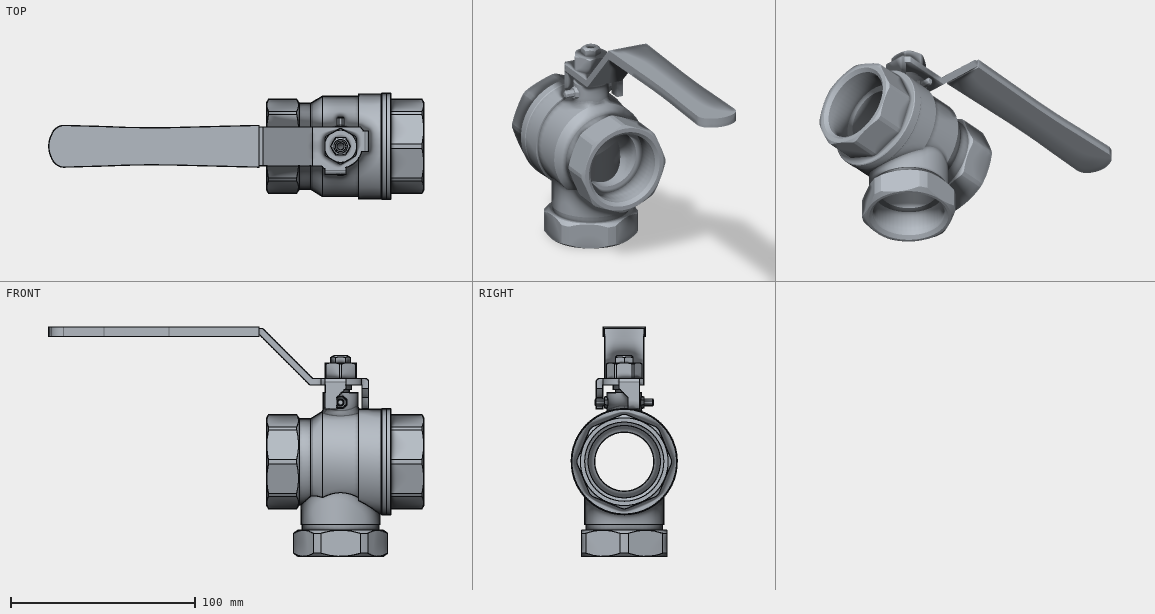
import cadquery as cq
import math


TOTAL_LENGTH = 203.8

BORE_D = 32.0
SOCKET_D = 39.3
SOCKET_ENTRY_D = 43.0
SOCKET_ENTRY_DEPTH = 1.8
SOCKET_DEPTH = 17.3

WRENCH_CORNERS = 51.2
RUN_SIDES = 8
HEX_SIDES = 6
RUN_FLATS = 48.1
BRANCH_FLATS = 46.5
MOUTH_D = 47.7
MOUTH_CHAMFER = 1.0
BRANCH_CHAMFER = 1.8
BRANCH_FACE_D = 46.0

LEFT_END_X = -40.2
LEFT_WRENCH_X = -22.5
LEFT_WRENCH_CHAMFER = 1.5
NECK_R = 23.5
NECK_END_X = -16.3
CONE_START_X = -15.5
CONE_START_R = 23.8
DRUM_X = -9.8
DRUM_R = 27.3
BAND_X = 9.8
BAND_R = 28.5
FLANGE_X = 22.0
FLANGE_R = 57.7 / 2
FLANGE_CHAMFER = 0.5
SPLIT_X = 25.0
CAP_FLANGE_X = 27.5
CAP_FLANGE_CHAMFER = 0.5
RIGHT_END_X = 45.3

BRANCH_R = 43.0 / 2
BRANCH_SHOULDER_Z = -34.0
BRANCH_GROOVE_R = 41.8 / 2
BRANCH_WRENCH_Z = -37.0
BRANCH_END_Z = -51.5

COLLAR_R = 19.0 / 2
COLLAR_TOP_Z = 37.5
COLLAR_FILLET = 3.0
PIN_Z = 32.2
PIN_SIDES = 8
PIN_FLATS = 3.9
PIN_REACH = 16.0
PIN_CHAMFER = 0.6
BOSS_ROOT = 8.2
BOSS_ROOT_FLATS = 7.5
BOSS_FACE_FLATS = 5.7
BOSS_REACH = 10.8

STEM_D = 9.5
STEM_BOTTOM_Z = 20.4
SHOULDER_D = 12.0
SHOULDER_Z = 39.1
TIP_FLATS = 9.4
TIP_TOP_Z = 57.7
TIP_FACE_D = 7.3
TIP_CHAMFER = 1.2
CENTRE_HOLE_D = 3.9
CENTRE_HOLE_MOUTH_D = 5.7
CENTRE_HOLE_DEPTH = 3.0

PLATE_T = 3.7
PLATE_BOTTOM_Z = 41.5
PLATE_TOP_Z = PLATE_BOTTOM_Z + PLATE_T
PLATE_HALF_WIDTH = 10.5
LEVER_RISE = 27.1
LOWER_BEND_X = -16.0
BEND_ANGLE = 45
UPPER_BEND_X = LOWER_BEND_X - LEVER_RISE / math.tan(math.radians(BEND_ANGLE))
HUB_R = 11.8
TAB_FACE = 15.3
TAB_BOTTOM_Z = 28.7
TAB_NEAR = 2.9
TAB_FAR = 8.4
TAB_NOTCH = 4.9
TAB_NOTCH_Z = 39.7
TAB_BEND_R = 2.0
TAB_ROOT = 12.6

GRIP_WALL = 0.8
GRIP_TIP_X = RIGHT_END_X - TOTAL_LENGTH
GRIP_END_X = -44.2
GRIP_CORNER_X = -150.6
GRIP_SHOULDER_X = -157.0
GRIP_SHOULDER_HALF = 6.5
GRIP_CORNER_BULGE = 0.8
GRIP_HALF_WIDTH = PLATE_HALF_WIDTH + GRIP_WALL
GRIP_TAPER_X = -128.6
GRIP_TAPER_HALF = 10.8
GRIP_WAIST_X = -110.0
GRIP_WAIST_HALF = 10.2
GRIP_WAIST_END_X = -93.2

NUT_FLATS = 17.1
NUT_TOP_Z = 53.6
NUT_FACE_D = 17.5
NUT_CORNER_D = 19.2
NUT_CHAMFER = 0.6


def cylinder(diameter, bottom, top):
    """Upright cylinder on the Z axis between two heights."""
    return cq.Workplane("XY").workplane(offset=bottom).circle(diameter / 2).extrude(top - bottom)


def corners_of(sides, flats):
    """Diameter over the corners of a regular polygon with the given size over its flats."""
    return flats / math.cos(math.pi / sides)


def polygon_prism(sides, flats, bottom, top, turn=0):
    """Upright regular prism; with no turn a corner points along +X."""
    outline = cq.Workplane("XY").workplane(offset=bottom).polygon(sides, corners_of(sides, flats))
    prism = outline.extrude(top - bottom)
    return prism.rotate((0, 0, 0), (0, 0, 1), turn)


def wrench_block(sides, flats, corners, bottom, top):
    """Upright prism whose corners are cut by narrow flats."""
    prism = polygon_prism(sides, flats, bottom, top)
    return prism.intersect(polygon_prism(sides, corners, bottom, top, 180 / sides))


def turned(points):
    """Solid of revolution about Z from (radius, height) points that start and end on the axis."""
    return cq.Workplane("XZ").polyline(points).close().revolve(360, (0, 0), (0, 1))


def along_x(shape):
    """Lay a shape built on Z down so that +Z becomes +X."""
    return shape.rotate((0, 0, 0), (0, 1, 0), 90)


def port_tool(end, inward):
    """Socket, entry chamfer and bore to the origin, entered at height `end` of the Z axis."""
    chamfer_end = end + inward * SOCKET_ENTRY_DEPTH
    socket_end = end + inward * SOCKET_DEPTH
    return turned([
        (0, end),
        (SOCKET_ENTRY_D / 2, end),
        (SOCKET_D / 2, chamfer_end),
        (SOCKET_D / 2, socket_end),
        (BORE_D / 2, socket_end),
        (BORE_D / 2, 0),
        (0, 0),
    ])


def left_wrench():
    """Octagonal end with a chamfered mouth and a steeper chamfer towards the neck."""
    block = wrench_block(RUN_SIDES, RUN_FLATS, WRENCH_CORNERS, LEFT_END_X, LEFT_WRENCH_X)
    envelope = turned([
        (0, LEFT_END_X),
        (MOUTH_D / 2, LEFT_END_X),
        (WRENCH_CORNERS / 2, LEFT_END_X + MOUTH_CHAMFER),
        (WRENCH_CORNERS / 2, LEFT_WRENCH_X - LEFT_WRENCH_CHAMFER),
        (NECK_R, LEFT_WRENCH_X),
        (0, LEFT_WRENCH_X),
    ])
    return along_x(block.intersect(envelope))


def band_and_flange():
    """Band and flange around the X axis, ending at the face that meets the end cap."""
    return along_x(turned([
        (0, BAND_X),
        (BAND_R, BAND_X),
        (BAND_R, FLANGE_X),
        (FLANGE_R, FLANGE_X + FLANGE_CHAMFER),
        (FLANGE_R, SPLIT_X),
        (0, SPLIT_X),
    ]))


def branch():
    """Branch tube with a groove above its hexagonal end."""
    tube = cylinder(2 * BRANCH_R, BRANCH_SHOULDER_Z, 0)
    groove = cylinder(2 * BRANCH_GROOVE_R, BRANCH_WRENCH_Z, BRANCH_SHOULDER_Z)
    block = wrench_block(HEX_SIDES, BRANCH_FLATS, WRENCH_CORNERS, BRANCH_END_Z, BRANCH_WRENCH_Z)
    envelope = turned([
        (0, BRANCH_END_Z),
        (BRANCH_FACE_D / 2, BRANCH_END_Z),
        (WRENCH_CORNERS / 2, BRANCH_END_Z + BRANCH_CHAMFER),
        (WRENCH_CORNERS / 2, BRANCH_WRENCH_Z - BRANCH_CHAMFER),
        (BRANCH_FACE_D / 2, BRANCH_WRENCH_Z),
        (0, BRANCH_WRENCH_Z),
    ])
    return tube.union(groove).union(block.intersect(envelope))


def stop_pin(side):
    """Octagonal pin on a tapered octagonal boss; `side` is +1 for +Y and -1 for -Y."""
    boss_height = BOSS_REACH - BOSS_ROOT
    taper = math.degrees(math.atan((BOSS_ROOT_FLATS - BOSS_FACE_FLATS) / 2 / boss_height))
    root_corners = corners_of(PIN_SIDES, BOSS_ROOT_FLATS)
    boss = cq.Workplane("XY").workplane(offset=BOSS_ROOT).polygon(PIN_SIDES, root_corners)
    boss = boss.extrude(boss_height, taper=taper)
    pin = polygon_prism(PIN_SIDES, PIN_FLATS, BOSS_ROOT, PIN_REACH).faces(">Z").chamfer(PIN_CHAMFER)
    pin = boss.union(pin).rotate((0, 0, 0), (0, 0, 1), 180 / PIN_SIDES)
    return pin.rotate((0, 0, 0), (1, 0, 0), -90 * side).translate((0, 0, PIN_Z))


def barrel_with_collar():
    """Barrel and stem collar, the collar rounded into the drum and the cone."""
    drum = along_x(turned([
        (0, LEFT_WRENCH_X),
        (NECK_R, LEFT_WRENCH_X),
        (NECK_R, NECK_END_X),
        (CONE_START_R, CONE_START_X),
        (DRUM_R, DRUM_X),
        (DRUM_R, FLANGE_X),
        (0, FLANGE_X),
    ]))
    shell = drum.union(cylinder(2 * COLLAR_R, 0, COLLAR_TOP_Z))
    collar_root = cq.selectors.NearestToPointSelector((0, 0, DRUM_R))
    return shell.edges(collar_root).fillet(COLLAR_FILLET).union(band_and_flange())


def make_body():
    """Housing with the left port, the branch, the stem collar and the stop pins."""
    body = barrel_with_collar().union(left_wrench()).union(branch())
    for side in (1, -1):
        body = body.union(stop_pin(side))
    body = body.cut(along_x(port_tool(LEFT_END_X, 1)))
    body = body.cut(along_x(cylinder(BORE_D, 0, SPLIT_X)))
    body = body.cut(port_tool(BRANCH_END_Z, 1))
    return body.cut(cylinder(STEM_D, STEM_BOTTOM_Z, COLLAR_TOP_Z))


def make_end_cap():
    """Screwed-in end of the run: a thin flange and an octagon with a chamfered mouth."""
    block = wrench_block(RUN_SIDES, RUN_FLATS, WRENCH_CORNERS, SPLIT_X, RIGHT_END_X)
    envelope = turned([
        (0, SPLIT_X),
        (WRENCH_CORNERS / 2, SPLIT_X),
        (WRENCH_CORNERS / 2, RIGHT_END_X - MOUTH_CHAMFER),
        (MOUTH_D / 2, RIGHT_END_X),
        (0, RIGHT_END_X),
    ])
    flange = cylinder(2 * FLANGE_R, SPLIT_X, CAP_FLANGE_X).faces(">Z").chamfer(CAP_FLANGE_CHAMFER)
    cap = block.intersect(envelope).union(flange)
    return along_x(cap.cut(port_tool(RIGHT_END_X, -1)))


def make_stem():
    """Round stem with a shoulder under the lever and a chamfered hexagonal tip."""
    stem = cylinder(STEM_D, STEM_BOTTOM_Z, SHOULDER_Z)
    stem = stem.union(cylinder(SHOULDER_D, SHOULDER_Z, PLATE_BOTTOM_Z))
    stem = stem.union(cylinder(STEM_D, PLATE_BOTTOM_Z, NUT_TOP_Z))
    tip_corner_r = corners_of(HEX_SIDES, TIP_FLATS) / 2
    envelope = turned([
        (0, NUT_TOP_Z),
        (tip_corner_r, NUT_TOP_Z),
        (tip_corner_r, TIP_TOP_Z - TIP_CHAMFER),
        (TIP_FACE_D / 2, TIP_TOP_Z),
        (0, TIP_TOP_Z),
    ])
    stem = stem.union(polygon_prism(HEX_SIDES, TIP_FLATS, NUT_TOP_Z, TIP_TOP_Z).intersect(envelope))
    mouth_depth = (CENTRE_HOLE_MOUTH_D - CENTRE_HOLE_D) / 2
    centre_hole = turned([
        (0, TIP_TOP_Z),
        (CENTRE_HOLE_MOUTH_D / 2, TIP_TOP_Z),
        (CENTRE_HOLE_D / 2, TIP_TOP_Z - mouth_depth),
        (CENTRE_HOLE_D / 2, TIP_TOP_Z - CENTRE_HOLE_DEPTH),
        (0, TIP_TOP_Z - CENTRE_HOLE_DEPTH - CENTRE_HOLE_D / 2),
    ])
    return stem.cut(centre_hole)


def make_nut():
    """Hexagonal nut clamping the lever, with its upper corners chamfered."""
    block = polygon_prism(HEX_SIDES, NUT_FLATS, PLATE_TOP_Z, NUT_TOP_Z, 180 / HEX_SIDES)
    envelope = turned([
        (0, PLATE_TOP_Z),
        (NUT_CORNER_D / 2, PLATE_TOP_Z),
        (NUT_CORNER_D / 2, NUT_TOP_Z - NUT_CHAMFER),
        (NUT_FACE_D / 2, NUT_TOP_Z),
        (0, NUT_TOP_Z),
    ])
    return block.intersect(envelope).cut(cylinder(STEM_D, PLATE_TOP_Z, NUT_TOP_Z))


def grip_blank(inset):
    """Waisted grip shape, moved inwards by `inset` on every side but the open end."""
    half = GRIP_HALF_WIDTH - inset
    shoulder_half = GRIP_SHOULDER_HALF - inset
    taper_half = GRIP_TAPER_HALF - inset
    waist_half = GRIP_WAIST_HALF - inset
    tip_x = GRIP_TIP_X + inset
    shoulder_x = GRIP_SHOULDER_X + inset
    corner_x = GRIP_CORNER_X + inset
    bottom = PLATE_BOTTOM_Z + LEVER_RISE - GRIP_WALL + inset
    thickness = PLATE_T + 2 * (GRIP_WALL - inset)
    corner_mid_x = (shoulder_x + corner_x) / 2 - GRIP_CORNER_BULGE
    corner_mid_half = (shoulder_half + half) / 2 + GRIP_CORNER_BULGE
    outline = (
        cq.Workplane("XY")
        .workplane(offset=bottom)
        .moveTo(GRIP_END_X, -half)
        .lineTo(GRIP_WAIST_END_X, -waist_half)
        .threePointArc((GRIP_WAIST_X, -waist_half), (GRIP_TAPER_X, -taper_half))
        .lineTo(corner_x, -half)
        .threePointArc((corner_mid_x, -corner_mid_half), (shoulder_x, -shoulder_half))
        .threePointArc((tip_x, 0), (shoulder_x, shoulder_half))
        .threePointArc((corner_mid_x, corner_mid_half), (corner_x, half))
        .lineTo(GRIP_TAPER_X, taper_half)
        .threePointArc((GRIP_WAIST_X, waist_half), (GRIP_WAIST_END_X, waist_half))
        .lineTo(GRIP_END_X, half)
        .close()
    )
    return outline.extrude(thickness)


def lever_strip():
    """Bent strip from the grip down to the hub, of constant thickness."""
    shift = PLATE_T * math.tan(math.radians(BEND_ANGLE / 2))
    side = [
        (0, PLATE_BOTTOM_Z),
        (LOWER_BEND_X - shift / 2, PLATE_BOTTOM_Z),
        (UPPER_BEND_X - shift / 2, PLATE_BOTTOM_Z + LEVER_RISE),
        (GRIP_END_X, PLATE_BOTTOM_Z + LEVER_RISE),
        (GRIP_END_X, PLATE_TOP_Z + LEVER_RISE),
        (UPPER_BEND_X + shift / 2, PLATE_TOP_Z + LEVER_RISE),
        (LOWER_BEND_X + shift / 2, PLATE_TOP_Z),
        (0, PLATE_TOP_Z),
    ]
    return cq.Workplane("XZ").polyline(side).close().extrude(PLATE_HALF_WIDTH, both=True)


def hub_plate():
    """Plate around the stem, rounded between the two tabs and flared out to meet them."""
    half = PLATE_HALF_WIDTH
    round_mid = HUB_R * math.sqrt(0.5)
    round_near = math.sqrt(HUB_R**2 - TAB_NEAR**2)
    outline = (
        cq.Workplane("XY")
        .workplane(offset=PLATE_BOTTOM_Z)
        .moveTo(-half, half)
        .lineTo(half, half)
        .lineTo(TAB_ROOT, TAB_FAR)
        .lineTo(TAB_ROOT, -TAB_NEAR)
        .lineTo(round_near, -TAB_NEAR)
        .threePointArc((round_mid, -round_mid), (TAB_NEAR, -round_near))
        .lineTo(TAB_NEAR, -TAB_ROOT)
        .lineTo(-TAB_FAR, -TAB_ROOT)
        .lineTo(-half, -half)
        .close()
    )
    return outline.extrude(PLATE_T)


def stop_tab():
    """Tab bent down on the +X side of the hub, narrowed to clear a stop pin."""
    inner_x = TAB_ROOT - PLATE_T / 2
    bend = (
        cq.Workplane("XZ")
        .moveTo(inner_x, PLATE_TOP_Z)
        .lineTo(TAB_FACE, PLATE_TOP_Z)
        .lineTo(TAB_FACE, TAB_BOTTOM_Z)
        .lineTo(TAB_FACE - PLATE_T, TAB_BOTTOM_Z)
        .lineTo(TAB_FACE - PLATE_T, PLATE_BOTTOM_Z)
        .lineTo(inner_x, PLATE_BOTTOM_Z)
        .close()
        .extrude(-(TAB_FAR + TAB_NEAR))
        .translate((0, -TAB_NEAR, 0))
    )
    bend = bend.edges(cq.selectors.NearestToPointSelector((TAB_FACE, 0, PLATE_TOP_Z))).fillet(TAB_BEND_R)
    notch = (
        cq.Workplane("YZ")
        .moveTo(-TAB_NEAR, TAB_NOTCH_Z)
        .lineTo(-TAB_NEAR + TAB_NOTCH, TAB_NOTCH_Z - TAB_NOTCH)
        .lineTo(-TAB_NEAR + TAB_NOTCH, TAB_BOTTOM_Z)
        .lineTo(-TAB_NEAR, TAB_BOTTOM_Z)
        .close()
        .extrude(TAB_FACE)
    )
    return bend.cut(notch)


def make_lever():
    """Cranked plate with two stop tabs and a hole for the stem."""
    right_tab = stop_tab()
    front_tab = right_tab.mirror("XZ").rotate((0, 0, 0), (0, 0, 1), -90)
    lever = lever_strip().union(hub_plate()).union(right_tab).union(front_tab)
    lever = lever.union(grip_blank(GRIP_WALL))
    return lever.cut(cylinder(STEM_D, PLATE_BOTTOM_Z, PLATE_TOP_Z))


def make_grip():
    """Sleeve of constant wall over the end of the lever, open towards the stem."""
    return grip_blank(0).cut(grip_blank(GRIP_WALL))


body = make_body()
end_cap = make_end_cap()
stem = make_stem()
lever = make_lever()
nut = make_nut()
grip = make_grip()

result = cq.Compound.makeCompound(
    [body.val(), end_cap.val(), stem.val(), lever.val(), nut.val(), grip.val()]
)